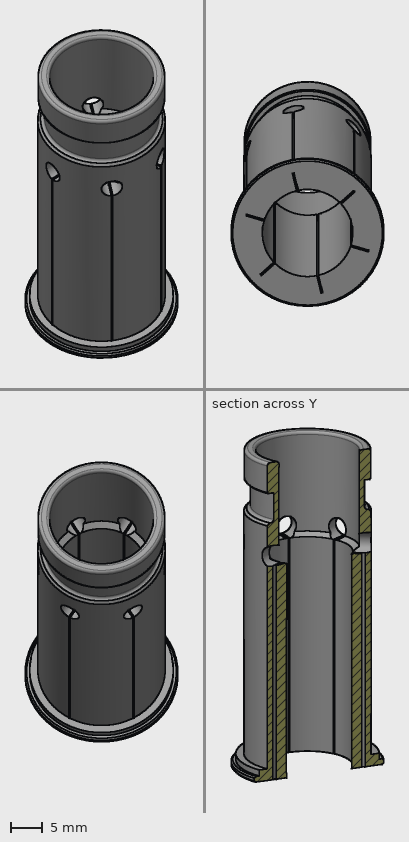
import cadquery as cq
import math

height = 52.5
body_radius = 20.0 / 2
shoulder_height = 42.5
shoulder_chamfer = 0.4

head_radius = 19.9 / 2
head_length = 5.15
head_round = 0.5
head_lower_chamfer = 0.2
neck_radius = 18.0 / 2
neck_fillet = 0.5

flange_radius = 24.0 / 2
flange_height = 1.0
flange_chamfer = 0.25
step_radius = 22.5 / 2
step_height = 2 * flange_height

upper_bore_radius = 16.3 / 2
lower_bore_radius = 14.2 / 2
bore_mouth_round = 0.5
seat_top = 36.0
seat_angle = 30.0
seat_drop = (upper_bore_radius - lower_bore_radius) * math.tan(math.radians(seat_angle))

slit_count = 6
first_slit_angle = 30.0
slit_width = 0.25
relief_hole_radius = 3.3 / 2
relief_hole_height = 37.0


def make_sleeve():
    """Revolve the wall section, including flange, neck, head and bore."""
    head_bottom = height - head_length
    arc_45 = math.sqrt(0.5)
    fillet_center_radius = neck_radius + neck_fillet
    fillet_center_height = shoulder_height + neck_fillet
    round_center_radius = head_radius - head_round
    round_center_height = height - head_round
    mouth_center_radius = upper_bore_radius + bore_mouth_round
    mouth_center_height = height - bore_mouth_round
    section = (
        cq.Workplane("XZ")
        .moveTo(lower_bore_radius, 0)
        .lineTo(flange_radius - flange_chamfer, 0)
        .lineTo(flange_radius, flange_chamfer)
        .lineTo(flange_radius, flange_height - flange_chamfer)
        .lineTo(flange_radius - flange_chamfer, flange_height)
        .lineTo(step_radius, flange_height)
        .lineTo(step_radius, step_height)
        .lineTo(body_radius, step_height)
        .lineTo(body_radius, shoulder_height - shoulder_chamfer)
        .lineTo(body_radius - shoulder_chamfer, shoulder_height)
        .lineTo(fillet_center_radius, shoulder_height)
        .threePointArc(
            (fillet_center_radius - neck_fillet * arc_45, fillet_center_height - neck_fillet * arc_45),
            (neck_radius, fillet_center_height),
        )
        .lineTo(neck_radius, head_bottom)
        .lineTo(head_radius - head_lower_chamfer, head_bottom)
        .lineTo(head_radius, head_bottom + head_lower_chamfer)
        .lineTo(head_radius, round_center_height)
        .threePointArc(
            (round_center_radius + head_round * arc_45, round_center_height + head_round * arc_45),
            (round_center_radius, height),
        )
        .lineTo(mouth_center_radius, height)
        .threePointArc(
            (mouth_center_radius - bore_mouth_round * arc_45, mouth_center_height + bore_mouth_round * arc_45),
            (upper_bore_radius, mouth_center_height),
        )
        .lineTo(upper_bore_radius, seat_top)
        .lineTo(lower_bore_radius, seat_top - seat_drop)
        .close()
    )
    return section.revolve(360, (0, 0, 0), (0, 1, 0))


def make_slit_cutter(angle):
    """Radial slit and relief hole that stop at the body radius, leaving the flange rim whole."""
    slit = cq.Workplane("XY").box(
        flange_radius, slit_width, relief_hole_height, centered=(False, True, False)
    )
    hole = (
        cq.Workplane("YZ")
        .center(0, relief_hole_height)
        .circle(relief_hole_radius)
        .extrude(flange_radius)
    )
    body_envelope = cq.Workplane("XY").circle(body_radius).extrude(height)
    return slit.union(hole).intersect(body_envelope).rotate((0, 0, 0), (0, 0, 1), angle)


result = make_sleeve()
for index in range(slit_count):
    result = result.cut(make_slit_cutter(first_slit_angle + index * 360 / slit_count))